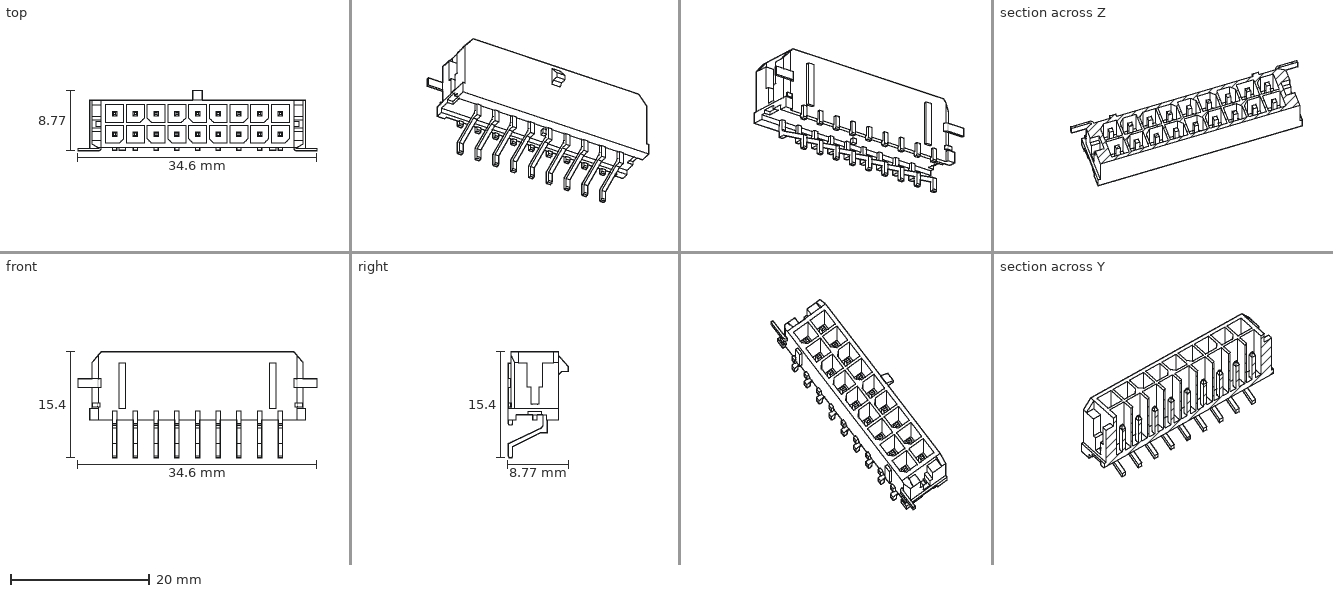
import cadquery as cq


overall_length = 34.65
overall_depth = 8.77
overall_height = 15.4

pitch = 3.0
columns = 9
column_x = [(i - (columns - 1) / 2) * pitch for i in range(columns)]

housing_length = 30.6
housing_depth = 6.9
housing_top = 9.92
housing_bottom = 0.74
housing_end = housing_length / 2
mid_y = housing_depth / 2
front_row_y = mid_y - pitch / 2
back_row_y = mid_y + pitch / 2
end_wall_x = 13.95
corner_cut_x = 0.92
corner_cut_y = 0.53
top_bevel_height = 1.6

flange_length = 31.3
flange_end = flange_length / 2
flange_top = 1.68
front_overhang = 0.47
front_skirt_depth = 0.74
back_skirt_depth = 1.78
flange_notch_width = 2.0
flange_notch_top = 1.25

ear_top = 8.26
back_ear_thickness = 0.73
front_ear_thickness = 1.06
wide_slot = (2.2, 4.81)
narrow_slot = (1.15, 2.29)
floor_hole_width = 0.75
floor_hole_end = 14.7
floor_hole_depth = 0.6

cavity_size = 2.6
cavity_cut = 0.65
cavity_floor = 2.0
front_row_cuts = (1, 0, -1, -1, -1, -1, 1, 1, 1)
back_row_cuts = (0, 1, -1, 1, -1, -1, 1, 1, 0)

pin_width = 0.65
pin_top = 7.0
pin_taper = 0.5
pin_tip_width = 0.3
tail_front = -0.4
tail_back = tail_front + pin_width
tip_cut_y = 0.1
tip_cut_z = 0.25
stub_bottom = -0.74
stub_top = 1.29
leg_bottom = housing_top - overall_height
leg_bend_z = -1.88
leg_bend_length = 1.05
leg_bevel_top_z = -0.78
leg_bevel_bottom_z = -1.13
leg_bevel_width = 0.21
leg_front_bend_z = -3.42
leg_back_bend_z = -3.87

latch_width = 1.4
latch_tip_y = overall_depth - front_overhang
latch_shoulder_y = 7.35
latch_ramp_top = 9.33
latch_nose_top = 7.76
latch_nose_bottom = 7.0
latch_root_bottom = 6.55

rib_offset = 10.9
rib_width = 1.0
rib_height = 0.4
rib_bottom = flange_top
rib_top = ear_top

tab_outer = overall_length / 2
tab_inner = end_wall_x
tab_bottom = 4.71
tab_top = 6.0
tab_gap = 0.1
tab_root = 0.35
tab_bend_radius = 0.45
lug_outer = 15.24
lug_inner = 14.15
lug_bottom = 1.9
lug_top = 2.5
lug_front = -0.35
lug_bend_radius = 0.34

peg_width = 0.64

overlap = 0.3


def box(x0, x1, y0, y1, z0, z1):
    return cq.Workplane("XY").box(x1 - x0, y1 - y0, z1 - z0, centered=False).translate((x0, y0, z0))


def side_profile(points, x_center, width):
    """Extrude a (y, z) outline along X, centred on x_center."""
    return cq.Workplane("YZ").polyline(points).close().extrude(width).translate((x_center - width / 2, 0, 0))


def both_ends(left_piece):
    return left_piece.union(left_piece.mirror("YZ"))


def make_housing():
    front_end = housing_end - corner_cut_x
    plan = [
        (-front_end, 0),
        (front_end, 0),
        (housing_end, corner_cut_y),
        (housing_end, housing_depth),
        (-housing_end, housing_depth),
        (-housing_end, corner_cut_y),
    ]
    body = cq.Workplane("XY").polyline(plan).close().extrude(housing_top - housing_bottom)
    body = body.translate((0, 0, housing_bottom))
    bevel = (
        cq.Workplane("XZ")
        .polyline([
            (-housing_end, housing_top),
            (-end_wall_x, housing_top),
            (-housing_end, housing_top - top_bevel_height),
        ])
        .close()
        .extrude(-housing_depth)
    )
    return body.cut(both_ends(bevel))


def make_base():
    pad_inner = housing_end - corner_cut_x
    flange = box(-flange_end, flange_end, 0, housing_depth, housing_bottom, flange_top)
    front_skirt = box(-flange_end, flange_end, 0, front_skirt_depth, 0, flange_top)
    back_skirt = box(-flange_end, flange_end, housing_depth - back_skirt_depth, housing_depth, 0, flange_top)
    pad = box(-flange_end, -pad_inner, -front_overhang, overlap, 0, flange_top)
    return flange.union(front_skirt).union(back_skirt).union(both_ends(pad))


def flange_notches():
    half_width = flange_notch_width / 2
    notch = box(-flange_end, -floor_hole_end, mid_y - half_width, mid_y + half_width,
                housing_bottom, flange_notch_top)
    return both_ends(notch)


def end_slots():
    slots = box(-housing_end, -end_wall_x, front_ear_thickness, housing_depth - back_ear_thickness,
                ear_top, housing_top)
    for width, floor in (wide_slot, narrow_slot):
        slots = slots.union(
            box(-housing_end, -end_wall_x, mid_y - width / 2, mid_y + width / 2, floor, housing_top))
    hole_top = narrow_slot[1]
    hole = box(-floor_hole_end, -end_wall_x, mid_y - floor_hole_width / 2, mid_y + floor_hole_width / 2,
               hole_top - floor_hole_depth, hole_top)
    return both_ends(slots.union(hole))


def cavity(x, y, cut_side):
    half = cavity_size / 2
    if cut_side == 0:
        outline = [(-half, -half), (half, -half), (half, half), (-half, half)]
    else:
        outline = [
            (-half * cut_side, -half),
            ((half - cavity_cut) * cut_side, -half),
            (half * cut_side, cavity_cut - half),
            (half * cut_side, half),
            (-half * cut_side, half),
        ]
    hole = cq.Workplane("XY").polyline(outline).close().extrude(housing_top - cavity_floor)
    return hole.translate((x, y, cavity_floor))


def contact_pin(x, y):
    half = pin_width / 2
    straight_top = pin_top - pin_taper
    shank = box(x - half, x + half, y - half, y + half, cavity_floor - overlap, straight_top)
    tip = (
        cq.Workplane("XY", origin=(x, y, straight_top))
        .rect(pin_width, pin_width)
        .workplane(offset=pin_taper)
        .rect(pin_tip_width, pin_tip_width)
        .loft(ruled=True)
    )
    return shank.union(tip)


def tail_tip(bottom):
    """Bevelled lower end of a tail, from its back edge to its front edge."""
    return [
        (tail_back, bottom + tip_cut_z),
        (tail_back - tip_cut_y, bottom),
        (tail_front + tip_cut_y, bottom),
        (tail_front, bottom + tip_cut_z),
    ]


def front_stub(x):
    outline = [(tail_back, stub_top)] + tail_tip(stub_bottom) + [(tail_front, stub_top)]
    return side_profile(outline, x, pin_width)


def back_leg(x):
    leg_front = back_row_y - pin_width / 2
    leg_back = back_row_y + pin_width / 2
    outline = (
        [
            (leg_front, flange_top),
            (leg_back, flange_top),
            (leg_back, leg_bend_z),
            (leg_back - leg_bend_length, leg_bend_z),
            (tail_back, leg_back_bend_z),
        ]
        + tail_tip(leg_bottom)
        + [
            (tail_front, leg_front_bend_z),
            (leg_front - leg_bevel_width, leg_bevel_bottom_z),
            (leg_front, leg_bevel_top_z),
        ]
    )
    return side_profile(outline, x, pin_width)


def latch():
    outline = [
        (housing_depth - overlap, latch_ramp_top),
        (housing_depth, latch_ramp_top),
        (latch_tip_y, latch_nose_top),
        (latch_tip_y, latch_nose_bottom),
        (latch_shoulder_y, latch_nose_bottom),
        (housing_depth, latch_root_bottom),
        (housing_depth - overlap, latch_root_bottom),
    ]
    return side_profile(outline, 0, latch_width)


def rib():
    return box(-rib_offset - rib_width / 2, -rib_offset + rib_width / 2, -rib_height, overlap,
               rib_bottom, rib_top)


def end_tab(outer, inner, front, bottom, top, bend_radius):
    """Flat tab standing off the front face, bent back into the housing at its inner end."""
    plate = box(-outer, -inner, front, -tab_gap, bottom, top)
    root = box(-inner - tab_root, -inner, -tab_gap, overlap, bottom, top)
    tab = plate.union(root).clean()
    return both_ends(tab.edges("|Z and >X and <Y").fillet(bend_radius))


result = make_housing().union(make_base()).cut(end_slots()).cut(flange_notches())

for x, front_cut, back_cut in zip(column_x, front_row_cuts, back_row_cuts):
    result = result.cut(cavity(x, front_row_y, front_cut))
    result = result.cut(cavity(x, back_row_y, back_cut))

for x in column_x:
    result = result.union(contact_pin(x, front_row_y))
    result = result.union(contact_pin(x, back_row_y))
    result = result.union(front_stub(x))
    result = result.union(back_leg(x))

peg = box(-peg_width / 2, peg_width / 2, mid_y - peg_width / 2, mid_y + peg_width / 2, 0, flange_top)

result = result.union(latch()).union(both_ends(rib())).union(peg)
result = result.union(end_tab(tab_outer, tab_inner, -front_overhang, tab_bottom, tab_top, tab_bend_radius))
result = result.union(end_tab(lug_outer, lug_inner, lug_front, lug_bottom, lug_top, lug_bend_radius))